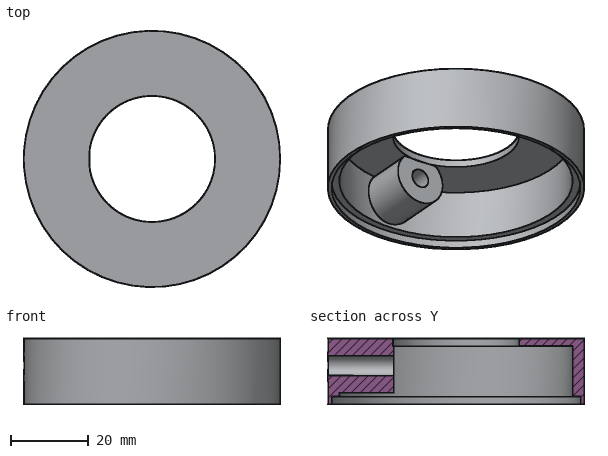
import cadquery as cq

outer_diameter = 66.0
height = 17.0
plate_thickness = 2.0
opening_diameter = 32.4
bore_diameter = 60.0

recess_diameter = 64.0
recess_depth = 2.0

boss_diameter = 14.0
boss_end_distance = 16.0
side_hole_diameter = 5.0
side_axis_height = 10.0


def cylinder(diameter, bottom, top):
    """Vertical cylinder on the Z axis between two heights."""
    return cq.Workplane("XY").workplane(offset=bottom).circle(diameter / 2).extrude(top - bottom)


def radial_cylinder(diameter, start, end):
    """Cylinder along -X at the side axis height, between two distances from the ring axis."""
    return (
        cq.Workplane("YZ", origin=(-start, 0, side_axis_height))
        .circle(diameter / 2)
        .extrude(start - end)
    )


plate_bottom = height - plate_thickness
body = cylinder(outer_diameter, 0, height)
bore = cylinder(bore_diameter, 0, plate_bottom)
recess = cylinder(recess_diameter, 0, recess_depth)

wall_middle_radius = (outer_diameter + bore_diameter) / 4
boss = radial_cylinder(boss_diameter, boss_end_distance, wall_middle_radius)

opening = cylinder(opening_diameter, plate_bottom, height)
side_hole = radial_cylinder(side_hole_diameter, 0, outer_diameter)

result = body.cut(bore).cut(recess).union(boss).cut(opening).cut(side_hole)